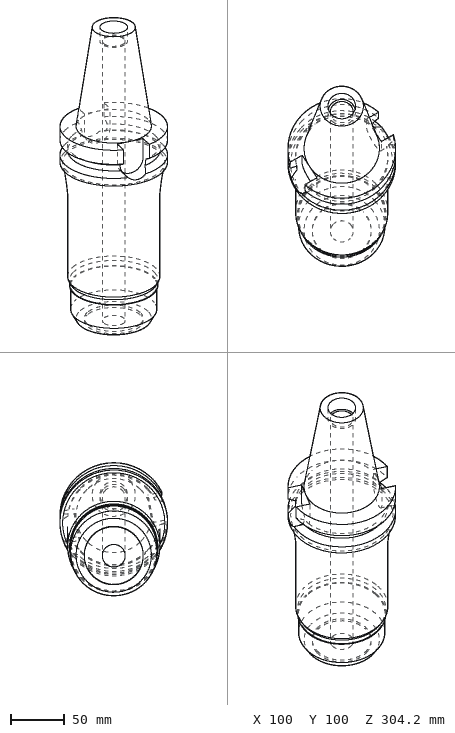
import cadquery as cq

total_height = 304.2
nut_bottom_z = 2.5
nut_chamfer_top_z = 12.0
collar_bottom_z = 36.5
collar_top_z = 42.0
body_bottom_z = 45.5
body_top_z = 131.7
flange_bottom_z = 164.3
groove_lower_edge_z = 172.2
groove_floor_bottom_z = 176.5
groove_floor_top_z = 182.5
groove_upper_edge_z = 186.8
flange_top_z = 201.5
lip_height = 1.0

nose_radius = 27.5
nut_bottom_radius = 35.0
nut_radius = 40.2
collar_radius = 41.0
body_radius = 43.0
flare_radius = 47.5
flare_bow = 0.45
flange_diameter = 100.0
flange_radius = flange_diameter / 2
groove_radius = body_radius
taper_base_radius = 35.0
taper_tip_radius = 20.0

bore_radius = 10.5
counterbore_radius = 12.8
counterbore_depth = 14.5
slot_width = 26.5
slot_bottom_z = 168.5
slot_floor_x = 35.0


def turned_body():
    """Solid of revolution: nose, nut, body, grooved flange and tool taper."""
    flare_mid = ((body_radius + flare_radius) / 2 - flare_bow, (body_top_z + flange_bottom_z) / 2)
    lip_top_z = flange_top_z + lip_height
    profile = (
        cq.Workplane("XZ")
        .moveTo(0, 0)
        .lineTo(nose_radius, 0)
        .lineTo(nose_radius, nut_bottom_z)
        .lineTo(nut_bottom_radius, nut_bottom_z)
        .lineTo(nut_radius, nut_chamfer_top_z)
        .lineTo(nut_radius, collar_bottom_z)
        .lineTo(collar_radius, collar_bottom_z)
        .lineTo(collar_radius, collar_top_z)
        .lineTo(body_radius, body_bottom_z)
        .lineTo(body_radius, body_top_z)
        .threePointArc(flare_mid, (flare_radius, flange_bottom_z))
        .lineTo(flange_radius, flange_bottom_z)
        .lineTo(flange_radius, groove_lower_edge_z)
        .lineTo(groove_radius, groove_floor_bottom_z)
        .lineTo(groove_radius, groove_floor_top_z)
        .lineTo(flange_radius, groove_upper_edge_z)
        .lineTo(flange_radius, flange_top_z)
        .lineTo(taper_base_radius, flange_top_z)
        .lineTo(taper_base_radius, lip_top_z)
        .lineTo(taper_tip_radius, total_height)
        .lineTo(0, total_height)
        .close()
    )
    return profile.revolve(360, (0, 0, 0), (0, 1, 0))


def stepped_bore():
    """Through bore with a wider counterbore at the taper tip."""
    bore = cq.Workplane("XY").circle(bore_radius).extrude(total_height)
    counterbore = (
        cq.Workplane("XY", origin=(0, 0, total_height - counterbore_depth))
        .circle(counterbore_radius)
        .extrude(counterbore_depth)
    )
    return bore.union(counterbore)


def drive_slot():
    """Round-bottomed slot, open at the flange top and at its +X rim."""
    half_width = slot_width / 2
    arc_center_z = slot_bottom_z + half_width
    return (
        cq.Workplane("YZ", origin=(slot_floor_x, 0, 0))
        .moveTo(-half_width, flange_top_z)
        .lineTo(-half_width, arc_center_z)
        .threePointArc((0, slot_bottom_z), (half_width, arc_center_z))
        .lineTo(half_width, flange_top_z)
        .close()
        .extrude(flange_radius)
    )


result = turned_body().cut(stepped_bore())
for slot_angle in (0, 180):
    result = result.cut(drive_slot().rotate((0, 0, 0), (0, 0, 1), slot_angle))